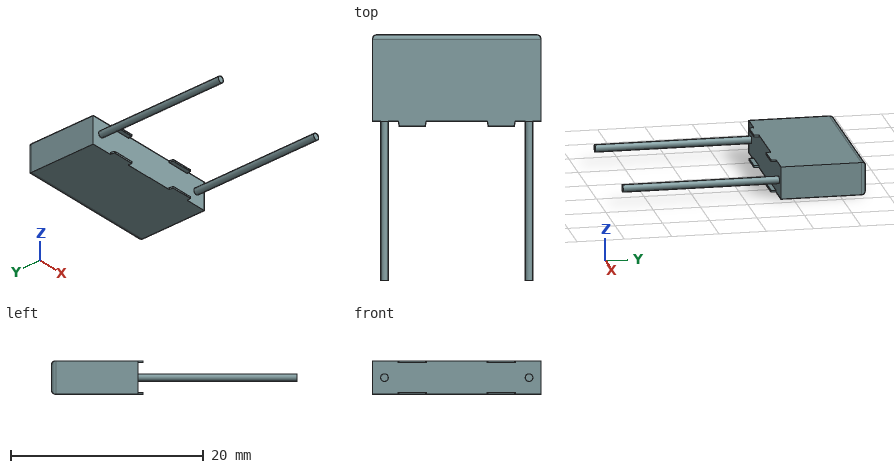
import cadquery as cq

overall_depth = 25.5

case_width = 17.5
case_depth = 9.0
case_height = 3.5
back_edge_radius = 0.48

tab_base_width = 2.9
tab_tip_width = 2.7
tab_length = 0.5
tab_thickness = 0.2
tab_spacing = 9.23

lead_diameter = 0.8
lead_spacing = 15.0
lead_length = overall_depth - case_depth


def make_tab(center_x, bottom_z):
    """Tapered tab that projects from the lead face toward -Y."""
    return (
        cq.Workplane("XY", origin=(center_x, 0, bottom_z))
        .moveTo(-tab_base_width / 2, 0)
        .lineTo(-tab_tip_width / 2, -tab_length)
        .lineTo(tab_tip_width / 2, -tab_length)
        .lineTo(tab_base_width / 2, 0)
        .close()
        .extrude(tab_thickness)
    )


def make_case():
    """Box with a rounded back rim and four standoff tabs."""
    body = (
        cq.Workplane("XY")
        .box(case_width, case_depth, case_height, centered=(True, False, True))
        .faces(">Y")
        .edges()
        .fillet(back_edge_radius)
    )
    lower_tab_z = -case_height / 2
    upper_tab_z = case_height / 2 - tab_thickness
    for center_x in (-tab_spacing / 2, tab_spacing / 2):
        for bottom_z in (lower_tab_z, upper_tab_z):
            body = body.union(make_tab(center_x, bottom_z))
    return body


def make_lead(center_x):
    """Straight wire that starts on the lead face and runs toward -Y."""
    return (
        cq.Workplane("XZ", origin=(center_x, 0, 0))
        .circle(lead_diameter / 2)
        .extrude(lead_length)
    )


case = make_case()
leads = [make_lead(center_x).val() for center_x in (-lead_spacing / 2, lead_spacing / 2)]

result = cq.Compound.makeCompound([case.val(), *leads])